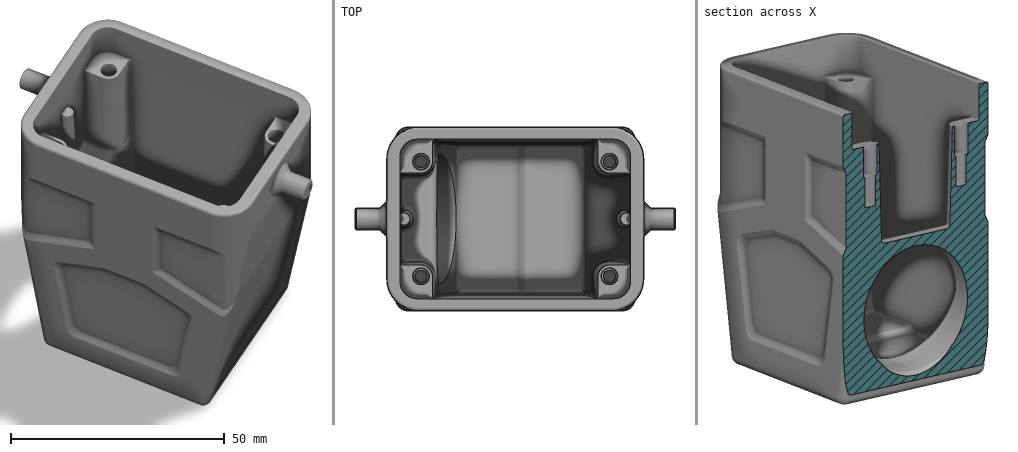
import cadquery as cq
import math

height = 72.0
half_depth = 43.0 / 2
rim_half_width = 30.1
shoulder_z = 60.75
waist_z = 42.4
waist_half_width = 28.35
base_half_width = 21.6
corner_radius = 7.5
edge_radius = 2.1
rim_round = 0.7

far = 2 * height

pin_tip_x = 37.5
pin_radius = 2.55
pin_z = 65.85
pin_collar_radius = 4.1
pin_collar_length = 1.65
pin_root_round = 0.7
pin_tip_chamfer = 0.3

panel_depth = 0.9
panel_bevel = 1.7
panel_taper = math.degrees(math.atan(panel_bevel / panel_depth))
panel_slope = 0.35
grip_inner_x = 7.5
grip_top_z = 59.2
grip_inner_z = 42.5
grip_cut_depth = 1.65
grip_outer_x = 52.5
grip_core_half_width = 28.5
grip_core_radius = 3.2
label_top_half_width = 5.3
label_top_z = 37.05
label_wide_half_width = 18.8
label_base_half_width = 14.8
label_base_z = 7.95
label_corner_radius = 6.4
panel_corner_radius = 1.9

opening_half_width = 27.0
opening_half_depth = 18.7
opening_radius = 4.1
ledge_z = 63.0
right_bend = (26.7, 45.0)
floor_half_depth = 17.25
inner_round = 0.8
right_floor_x = 16.2
right_floor_z = 6.6
left_floor_x = -13.65
left_floor_z = 5.55
step_left_x = 0.6
step_right_x = 2.4
shelf_z = 38.25
shelf_edge_x = -18.4
shelf_edge_radius = 1.95
left_bend = (-17.9, 21.2)

boss_inner_x = 19.35
boss_inner_y = 10.7
boss_radius = 2.85
boss_draft = 1.7
screw_x = 22.05
screw_y = 13.4
screw_radius = 1.4
screw_mouth_radius = 1.95
screw_mouth_depth = 7.5
screw_depth = 15.0

rib_x = 26.0
rib_top_z = 59.8
rib_base_z = 30.0
rib_top_radius = 1.4
rib_base_radius = 2.6

entry_z = 19.9
entry_radius = 15.2
entry_chamfer = 1.0


def plan_prism(half_x, half_y, radius, z_low, z_high):
    prism = cq.Workplane("XY", origin=(0, 0, z_low)).rect(2 * half_x, 2 * half_y).extrude(z_high - z_low)
    return prism.edges("|Z").fillet(radius)


def edge_zone(x_low, x_high, z_low, z_high):
    """Selects what is centred within a range of X and Z."""
    return cq.selectors.BoxSelector((x_low, -far, z_low), (x_high, far, z_high))


def four_corners(shape):
    pair = shape.union(shape.mirror("YZ"))
    return pair.union(pair.mirror("XZ"))


def make_body():
    right_side = [
        (base_half_width, 0),
        (waist_half_width, waist_z),
        (rim_half_width, shoulder_z),
        (rim_half_width, height),
    ]
    left_side = [(-x, z) for x, z in reversed(right_side)]
    block = cq.Workplane("XZ").polyline(right_side + left_side).close().extrude(half_depth, both=True)
    block = block.edges(edge_zone(-far, far, -0.75, waist_z - 0.75)).fillet(edge_radius)
    corner_cut = side_panel(slanted_outline(far), corner_radius)
    corner_cut = corner_cut.cut(plan_prism(rim_half_width, half_depth, corner_radius, 0, height))
    body = block.cut(four_corners(corner_cut))
    return body.faces(">Z").edges().fillet(rim_round)


def slanted_outline(top_z):
    """Outline of a grip panel, open towards the end face and slanted along its lower edge."""
    grip_outer_z = grip_inner_z - panel_slope * (grip_outer_x - grip_inner_x)
    return cq.Sketch().polygon([
        (grip_inner_x, top_z),
        (grip_outer_x, top_z),
        (grip_outer_x, grip_outer_z),
        (grip_inner_x, grip_inner_z),
        (grip_inner_x, top_z),
    ])


def side_panel(sketch, depth):
    """Bevelled cutter that sinks a panel into the -Y side."""
    side = cq.Plane(origin=(0, -half_depth, 0), xDir=(-1, 0, 0), normal=(0, 1, 0))
    return cq.Workplane(side).placeSketch(sketch).extrude(depth, taper=panel_taper)


def bevel_corners(depth, z_low, z_high):
    """Selects the slanting corner edges of a panel cutter within a range of Z."""
    middle_y = -half_depth + depth / 2
    return cq.selectors.BoxSelector((-far, middle_y - 0.1, z_low), (far, middle_y + 0.1, z_high))


def make_grip_panel():
    core = plan_prism(grip_core_half_width, half_depth - panel_depth, grip_core_radius, 0, height)
    panel = side_panel(slanted_outline(grip_top_z), grip_cut_depth)
    panel = panel.edges(bevel_corners(grip_cut_depth, 0, far)).fillet(panel_corner_radius)
    return panel.cut(core)


def make_label_panel():
    label_wide_z = label_top_z - panel_slope * (label_wide_half_width - label_top_half_width)
    label = cq.Sketch().polygon([
        (label_top_half_width, label_top_z),
        (label_wide_half_width, label_wide_z),
        (label_base_half_width, label_base_z),
        (-label_base_half_width, label_base_z),
        (-label_wide_half_width, label_wide_z),
        (-label_top_half_width, label_top_z),
        (label_top_half_width, label_top_z),
    ])
    panel = side_panel(label, panel_depth)
    panel = panel.edges(bevel_corners(panel_depth, label_top_z - panel_bevel - 0.75, far)).fillet(panel_corner_radius)
    return panel.edges(bevel_corners(panel_depth, 0, label_wide_z)).fillet(label_corner_radius)


def make_pin():
    base_x = rim_half_width - 0.75
    collar_end = rim_half_width + pin_collar_length
    profile = [
        (base_x, 0),
        (base_x, pin_collar_radius),
        (rim_half_width, pin_collar_radius),
        (collar_end, pin_radius),
        (pin_tip_x - pin_tip_chamfer, pin_radius),
        (pin_tip_x, pin_radius - pin_tip_chamfer),
        (pin_tip_x, 0),
    ]
    pin = cq.Workplane("XY").polyline(profile).close().revolve(360, (0, 0, 0), (1, 0, 0))
    pin = pin.edges(cq.selectors.NearestToPointSelector((collar_end, 0, pin_radius))).fillet(pin_root_round)
    return pin.translate((0, 0, pin_z))


def make_boss():
    size_x = opening_half_width + 7.5 - boss_inner_x
    size_y = opening_half_depth + 7.5 - boss_inner_y
    boss = (
        cq.Workplane("XY", origin=(boss_inner_x + size_x / 2, boss_inner_y + size_y / 2, ledge_z))
        .sketch().rect(size_x, size_y).vertices().fillet(boss_radius).finalize()
        .extrude(-ledge_z, taper=-boss_draft)
    )
    return boss


def make_rib():
    profile = [(0, rib_base_z), (rib_base_radius, rib_base_z), (rib_top_radius, rib_top_z), (0, rib_top_z)]
    rib = cq.Workplane("XZ").polyline(profile).close().revolve(360, (0, 0, 0), (0, 1, 0))
    return rib.translate((rib_x, 0, 0))


def make_cavity():
    lengthwise = (
        cq.Workplane("XZ")
        .polyline([
            (opening_half_width, ledge_z),
            right_bend,
            (right_floor_x, right_floor_z),
            (step_right_x, right_floor_z),
            (step_left_x, left_floor_z),
            (left_floor_x, left_floor_z),
            left_bend,
            (shelf_edge_x, shelf_z - shelf_edge_radius),
        ])
        .radiusArc((shelf_edge_x - shelf_edge_radius, shelf_z), -shelf_edge_radius)
        .lineTo(-right_bend[0], shelf_z)
        .lineTo(-right_bend[0], right_bend[1])
        .lineTo(-opening_half_width, ledge_z)
        .close()
        .extrude(half_depth, both=True)
    )
    crosswise = (
        cq.Workplane("YZ")
        .polyline([
            (opening_half_depth, ledge_z),
            (floor_half_depth, left_floor_z),
            (-floor_half_depth, left_floor_z),
            (-opening_half_depth, ledge_z),
        ])
        .close()
        .extrude(rim_half_width, both=True)
    )
    rib = make_rib()
    lower = lengthwise.intersect(crosswise)
    lower = lower.edges(edge_zone(-far, far, 0, right_floor_z + 0.75)).fillet(inner_round)
    lower = lower.cut(four_corners(make_boss())).cut(rib).cut(rib.mirror("YZ"))
    right_end = edge_zone(right_floor_x + 1.5, far, right_floor_z + 1.5, ledge_z - 0.75)
    right_rib = cq.selectors.BoxSelector((0, -rib_base_radius, 0), (far, rib_base_radius, far))
    left_boss_faces = edge_zone(-boss_inner_x - 0.75, shelf_edge_x + 0.75, right_floor_z + 1.5, ledge_z - 0.75)
    shelf_outline = edge_zone(-far, shelf_edge_x - shelf_edge_radius - 0.1, shelf_z - 0.1, shelf_z + 0.1)
    lower = lower.edges(right_end - right_rib + left_boss_faces + shelf_outline).fillet(inner_round)
    opening = plan_prism(opening_half_width, opening_half_depth, opening_radius, ledge_z, height)
    return opening.union(lower)


def make_screw_hole():
    profile = [
        (0, ledge_z),
        (screw_mouth_radius, ledge_z),
        (screw_mouth_radius, ledge_z - screw_mouth_depth),
        (screw_radius, ledge_z - screw_mouth_depth),
        (screw_radius, ledge_z - screw_depth),
        (0, ledge_z - screw_depth),
    ]
    hole = cq.Workplane("XZ").polyline(profile).close().revolve(360, (0, 0, 0), (0, 1, 0))
    return hole.translate((screw_x, screw_y, 0))


def make_entry():
    lean = (waist_half_width - base_half_width) / waist_z
    face_x = -(base_half_width + lean * entry_z)
    length = left_bend[0] - face_x + 3.75
    mouth_plane = cq.Plane(origin=(face_x, 0, entry_z), xDir=(0, -1, 0), normal=(1, 0, lean))
    bore = cq.Workplane(mouth_plane).circle(entry_radius).extrude(length)
    mouth_radius = entry_radius + entry_chamfer
    mouth = cq.Workplane(mouth_plane).circle(mouth_radius).extrude(entry_chamfer, taper=45)
    return bore.union(mouth)


body = make_body()
grip_panel = make_grip_panel()
label_panel = make_label_panel()
body = body.cut(four_corners(grip_panel)).cut(label_panel).cut(label_panel.mirror("XZ"))

pin = make_pin()
body = body.union(pin).union(pin.mirror("YZ"))
for side in (-1, 1):
    foot_centre = (side * rim_half_width, 0, pin_z)
    body = body.edges(cq.selectors.NearestToPointSelector(foot_centre)).fillet(pin_root_round)

result = body.cut(make_cavity()).cut(four_corners(make_screw_hole())).cut(make_entry())